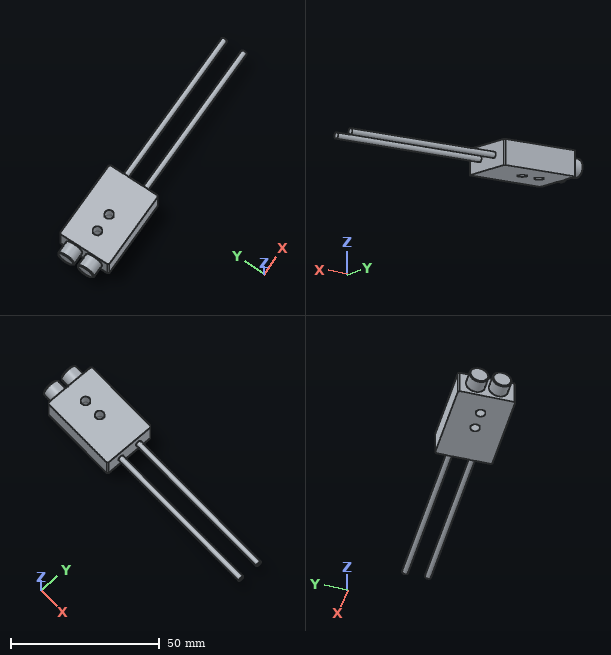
import cadquery as cq

total_length = 95.2
body_length = 29.9
body_width = 20.0
body_height = 9.0
body_edge_chamfer = 0.5

head_length = 5.2
head_diameter = 6.7
head_edge_chamfer = 0.5
head_dome_height = 0.2

cable_diameter = 2.2
channel_spacing = 8.0

hole_diameter = 3.2
first_hole_inset = 8.0
hole_spacing = 7.0

body_back = body_length
cable_end = total_length - head_length
channel_positions = (-channel_spacing / 2, channel_spacing / 2)


def make_body():
    block = cq.Workplane("XY").box(
        body_length, body_width, body_height, centered=(False, True, True)
    )
    chamfered = block.edges("|Z").chamfer(body_edge_chamfer)
    hole_positions = [(first_hole_inset, 0), (first_hole_inset + hole_spacing, 0)]
    holes = (
        cq.Workplane("XY")
        .pushPoints(hole_positions)
        .circle(hole_diameter / 2)
        .extrude(body_height, both=True)
    )
    return chamfered.cut(holes)


def make_head(y):
    blank = (
        cq.Workplane("YZ", origin=(-head_length, y, 0))
        .circle(head_diameter / 2)
        .extrude(head_length)
        .faces("<X")
        .edges()
        .chamfer(head_edge_chamfer)
    )
    rim_radius = head_diameter / 2 - head_edge_chamfer + head_dome_height
    dome_radius = (rim_radius**2 + head_dome_height**2) / (2 * head_dome_height)
    dome = cq.Workplane("XY", origin=(dome_radius - head_length, y, 0)).sphere(dome_radius)
    return blank.intersect(dome)


def make_cable(y):
    return (
        cq.Workplane("YZ", origin=(body_back, y, 0))
        .circle(cable_diameter / 2)
        .extrude(cable_end - body_back)
    )


result = make_body()
for channel_y in channel_positions:
    result = result.union(make_head(channel_y)).union(make_cable(channel_y))